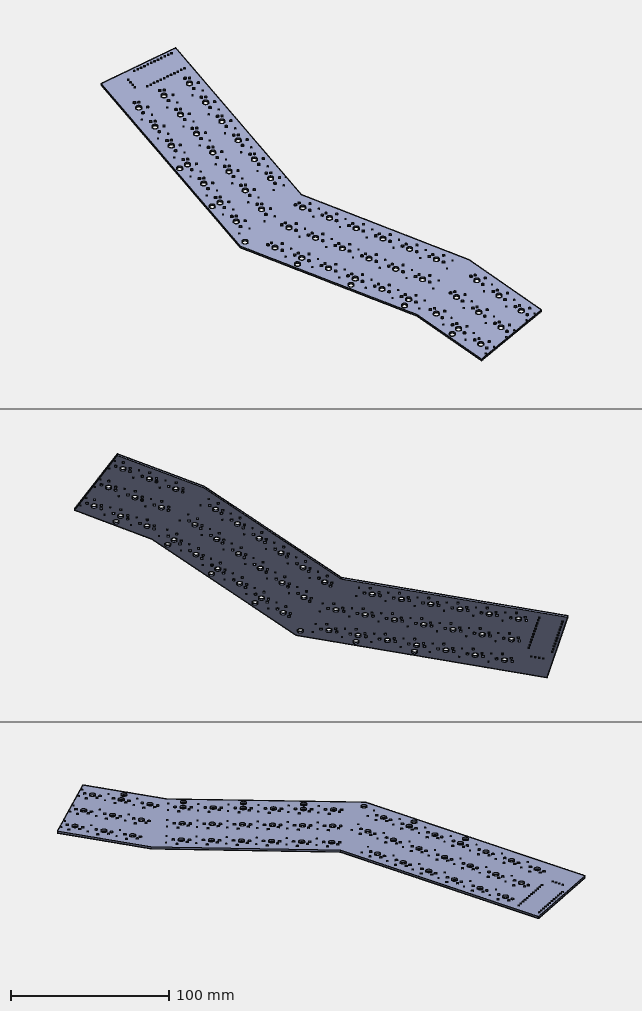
import cadquery as cq
import math

thickness = 1.6
board_length = 325.2
board_width = 131.0
left_arm_width = 56.0
outline = [
    (0, 0),
    (163.0, 0),
    (271.5, 62.8),
    (board_length, 76.7),
    (310.5, board_width),
    (250.5, 115.5),
    (147.0, left_arm_width),
    (0, left_arm_width),
]

key_pitch = 190.0 / 10
pin_pitch = 2.55

stem_diameter = 4.0
support_diameter = 1.75
switch_pin_diameter = 1.45
diode_diameter = 0.8
controller_diameter = 1.1
display_diameter = 1.0
mount_diameter = 4.0

support_offsets = [(-2 * pin_pitch, 0), (2 * pin_pitch, 0)]
switch_pin_offsets = [(-1.5 * pin_pitch, pin_pitch), (pin_pitch, 2 * pin_pitch)]

diode_half_length = 1.5 * pin_pitch
diode_reach = key_pitch / 2
end_diode_reach = 7.8

mount_drop = 6.0
bend_mount = (161.3, 4.5)

key_blocks = [
    ((30.0, 9.0), 0, (7, 7, 6), (3, 5), diode_reach),
    ((175.5, 18.0), 30, (6, 6, 6), (1, 3, 5), diode_reach),
    ((277.5, 73.5), 15, (3, 3, 3), (1,), end_diode_reach),
]

controller_pins = 12
controller_right_x = 17.5
controller_left_x = controller_right_x - 6 * pin_pitch
controller_bottom_y = 23.5

display_pins = 4
display_x = 6.5
display_y = 16.3


def placed(point, origin, degrees):
    """Turn a point of a key block about the block's first key and move it onto the board."""
    x, y = point
    angle = math.radians(degrees)
    board_x = origin[0] + x * math.cos(angle) - y * math.sin(angle)
    board_y = origin[1] + x * math.sin(angle) + y * math.cos(angle)
    return board_x, board_y


def key_holes(diode_x):
    """Diameter and offset from the key centre of every hole that belongs to one key."""
    holes = [(stem_diameter, (0, 0))]
    holes += [(support_diameter, offset) for offset in support_offsets]
    holes += [(switch_pin_diameter, offset) for offset in switch_pin_offsets]
    holes += [(diode_diameter, (diode_x, side * diode_half_length)) for side in (-1, 1)]
    return holes


def block_holes(origin, degrees, row_lengths, mount_columns, last_diode_reach):
    """Diameter and board position of every hole in one block of keys."""
    holes = []
    for row, row_length in enumerate(row_lengths):
        for column in range(row_length):
            is_last = column == row_length - 1
            diode_x = last_diode_reach if is_last else diode_reach
            for diameter, (dx, dy) in key_holes(diode_x):
                point = (column * key_pitch + dx, row * key_pitch + dy)
                holes.append((diameter, placed(point, origin, degrees)))
    for column in mount_columns:
        point = (column * key_pitch, -mount_drop)
        holes.append((mount_diameter, placed(point, origin, degrees)))
    return holes


def controller_holes():
    holes = []
    for x in (controller_left_x, controller_right_x):
        for pin in range(controller_pins):
            holes.append((controller_diameter, (x, controller_bottom_y + pin * pin_pitch)))
    return holes


def display_holes():
    return [(display_diameter, (display_x + pin * pin_pitch, display_y)) for pin in range(display_pins)]


all_holes = controller_holes() + display_holes() + [(mount_diameter, bend_mount)]
for block in key_blocks:
    all_holes += block_holes(*block)

board = cq.Workplane("XY").polyline(outline).close()
for diameter, position in all_holes:
    board = board.pushPoints([position]).circle(diameter / 2)

result = board.extrude(thickness)